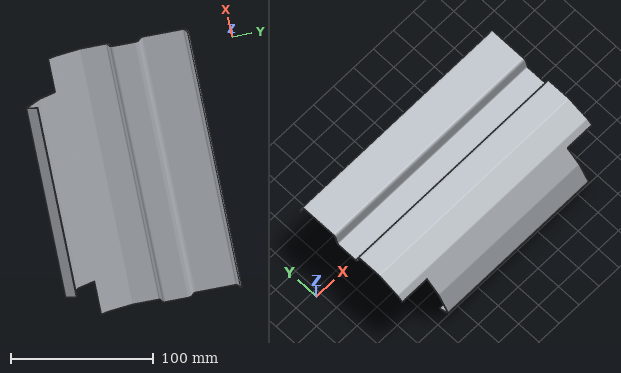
import cadquery as cq
import math

length = 190.0
thickness = 1.2
bend_radius = 2.7

web_angle = 75.0
channel_depth = 9.3
web_length = channel_depth / math.sin(math.radians(web_angle))
flange_drop = 10.5
flange_length = flange_drop / math.sin(math.radians(web_angle))
deck_width = 32.3
channel_floor_width = 17.7
front_deck_width = 20.5
facet_angle_step = 20.0
upper_facet_length = 19.4
middle_facet_length = 20.7
lower_facet_length = 19.5
lip_length = 10.0
lip_angle = -150.0

apron_length = 140.6
notch_start = 100.5

flats = [
    (flange_length, web_angle),
    (deck_width, 0.0),
    (web_length, -web_angle),
    (channel_floor_width, 0.0),
    (web_length, web_angle),
    (front_deck_width, 0.0),
    (upper_facet_length, -facet_angle_step),
    (middle_facet_length, -2 * facet_angle_step),
    (lower_facet_length, -3 * facet_angle_step),
    (lip_length, lip_angle),
]


def upper_skin_points():
    """Sharp corners of the upper skin as (forward, up), from the back edge."""
    points = [(0.0, -flange_drop)]
    for flat_length, heading in flats:
        angle = math.radians(heading)
        forward, up = points[-1]
        points.append((forward + flat_length * math.cos(angle), up + flat_length * math.sin(angle)))
    return points


def lower_skin_points(upper):
    """Upper skin corners moved one sheet thickness inward, mitred at the bends."""
    headings = [math.radians(heading) for _, heading in flats]
    before = [headings[0]] + headings
    after = headings + [headings[-1]]
    points = []
    for (forward, up), first, second in zip(upper, before, after):
        middle = (first + second) / 2
        offset = thickness / math.cos((second - first) / 2)
        points.append((forward + offset * math.sin(middle), up - offset * math.cos(middle)))
    return points


def round_bend(sheet, upper_corner, lower_corner, turn):
    """Round both skins of one bend about a common axis."""
    inside_radius = bend_radius - thickness
    upper_is_outside = turn < 0
    upper_radius = bend_radius if upper_is_outside else inside_radius
    lower_radius = inside_radius if upper_is_outside else bend_radius
    for (forward, up), radius in ((upper_corner, upper_radius), (lower_corner, lower_radius)):
        edge = cq.selectors.NearestToPointSelector((0, -forward, up))
        sheet = sheet.edges("|X").edges(edge).fillet(radius)
    return sheet


def bent_sheet():
    upper = upper_skin_points()
    lower = lower_skin_points(upper)
    outline = [(-forward, up) for forward, up in upper + lower[::-1]]
    sheet = cq.Workplane("YZ").polyline(outline).close().extrude(length / 2, both=True)
    for bend in range(1, len(flats)):
        turn = flats[bend][1] - flats[bend - 1][1]
        sheet = round_bend(sheet, upper[bend], lower[bend], turn)
    return sheet


def corner_notch(side):
    """Block that removes one front corner, leaving the central apron."""
    notch_width = (length - apron_length) / 2
    reach = length
    center_x = side * (apron_length + notch_width) / 2
    return cq.Workplane("XY").box(notch_width, reach, reach).translate(
        (center_x, -notch_start - reach / 2, 0)
    )


result = bent_sheet()
for side in (-1, 1):
    result = result.cut(corner_notch(side))